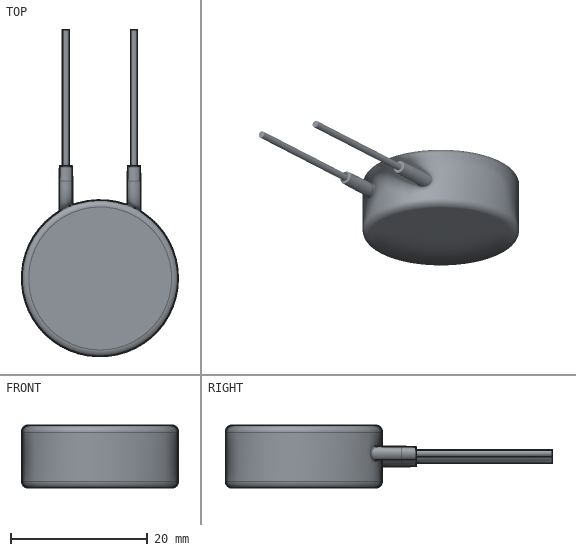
import cadquery as cq

case_diameter = 23.0
case_height = 9.2
case_edge_radius = 1.0

lead_spacing = 10.0
lead_height_offset = 0.5
wire_diameter = 1.0
wire_length = 20.0

sleeve_diameter = 2.0
sleeve_tip_diameter = 1.86
sleeve_projection = 5.0
sleeve_taper_length = 2.2
sleeve_tip_rounding = 0.1
sleeve_root_fillet = 0.2

case_radius = case_diameter / 2
sleeve_radius = sleeve_diameter / 2
sleeve_tip_radius = sleeve_tip_diameter / 2
wire_radius = wire_diameter / 2

lead_start_y = case_radius / 2
sleeve_end_y = case_radius + sleeve_projection
taper_start_y = sleeve_end_y - sleeve_taper_length
wire_end_y = sleeve_end_y + wire_length


def make_case():
    """Disc with rounded top and bottom rims."""
    disc = cq.Workplane("XY").workplane(offset=-case_height / 2).circle(case_radius).extrude(case_height)
    return disc.faces("<Z or >Z").edges().fillet(case_edge_radius)


def make_sleeve():
    """Round sleeve along +Y with a tapered, rounded tip, revolved about the Y axis."""
    profile = (
        cq.Workplane("YZ")
        .moveTo(lead_start_y, 0)
        .lineTo(lead_start_y, sleeve_radius)
        .lineTo(taper_start_y, sleeve_radius)
        .lineTo(sleeve_end_y, sleeve_tip_radius)
        .lineTo(sleeve_end_y, 0)
        .close()
    )
    sleeve = profile.revolve(360, (0, 0, 0), (1, 0, 0))
    return sleeve.faces(">Y").edges().fillet(sleeve_tip_rounding)


def make_wire():
    """Plain round wire along +Y, from inside the sleeve to its free end."""
    return (
        cq.Workplane("XZ", origin=(0, lead_start_y, 0))
        .circle(wire_radius)
        .extrude(lead_start_y - wire_end_y)
    )


def fillet_sleeve_roots(part):
    """Blend each sleeve into the case wall; these intersections are the only spline edges."""
    return part.edges("%BSPLINE").fillet(sleeve_root_fillet)


lead = make_sleeve().union(make_wire())
part = make_case()
for side in (-1, 1):
    part = part.union(lead.translate((side * lead_spacing / 2, 0, side * lead_height_offset)))
result = fillet_sleeve_roots(part)